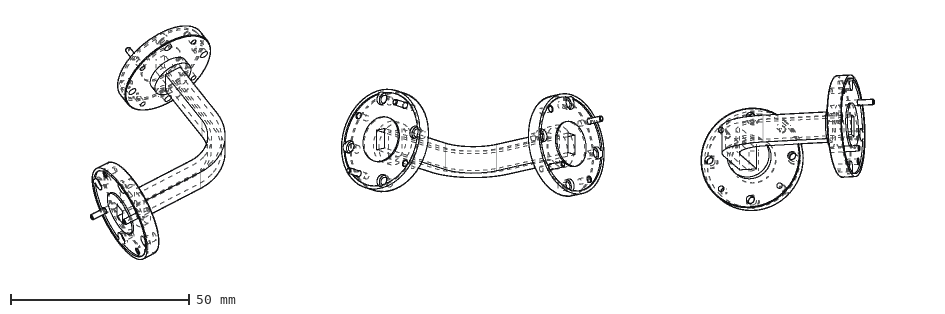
import cadquery as cq
import math

flange_radius = 14.3
pin_protrusion = 4.0
overall_length = 56.25
port_offset = overall_length - flange_radius - pin_protrusion

flange_thickness = 4.05
back_edge_chamfer = 0.2
hub_radius = 6.0
hub_height = 2.4
boss_radius = 6.4
rim_inner_radius = 13.4
face_recess_depth = 0.5

hole_circle_radius = 11.9
screw_hole_radius = 1.1
counterbore_radius = 1.75
counterbore_depth = 1.5
dowel_mouth_chamfer = 0.15
mouth_taper = 45

pin_radius = 0.8
pin_end_chamfer = 0.2

tube_width = 4.9
tube_height = 7.7
bore_width = 2.85
bore_height = 5.7
bend_radius = 12.6

port_planes = [
    cq.Plane(origin=(0, 0, 0), xDir=(0, 1, 0), normal=(1, 0, 0)),
    cq.Plane(origin=(port_offset, -port_offset, 0), xDir=(-1, 0, 0), normal=(0, 1, 0)),
]
pin_angle = 135


def opposite_points(angle):
    """Two opposite points on the hole circle, at the given angle in degrees."""
    x = hole_circle_radius * math.cos(math.radians(angle))
    y = hole_circle_radius * math.sin(math.radians(angle))
    return [(x, y), (-x, -y)]


def swept_bar(width, height):
    """Rectangular bar along the waveguide centreline from port face to port face."""
    bend_start = port_offset - bend_radius
    bend_mid = bend_radius * math.sqrt(0.5)
    path = (
        cq.Workplane("XY")
        .lineTo(bend_start, 0)
        .threePointArc(
            (bend_start + bend_mid, bend_mid - bend_radius),
            (port_offset, -bend_radius),
        )
        .lineTo(port_offset, -port_offset)
    )
    return cq.Workplane(port_planes[0]).rect(width, height).sweep(path)


def make_flange(plane):
    """Round flange with its hub and a recessed ring between the centre boss and the rim."""
    disc = cq.Workplane(plane).circle(flange_radius).extrude(flange_thickness)
    back_face = cq.selectors.DirectionMinMaxSelector(plane.zDir)
    disc = disc.faces(back_face).edges().chamfer(back_edge_chamfer)
    hub = cq.Workplane(plane).circle(hub_radius).extrude(flange_thickness + hub_height)
    recess = cq.Workplane(plane).circle(rim_inner_radius).circle(boss_radius).extrude(face_recess_depth)
    return disc.union(hub).cut(recess)


def screw_holes(plane):
    """Cutter for the four counterbored screw holes on the flange axes."""
    points = opposite_points(0) + opposite_points(90)
    holes = cq.Workplane(plane).pushPoints(points).circle(screw_hole_radius).extrude(flange_thickness)
    counterbores = cq.Workplane(plane).pushPoints(points).circle(counterbore_radius).extrude(counterbore_depth)
    return holes.union(counterbores)


def dowel_holes(plane):
    """Cutter for the four dowel holes between the screws, chamfered at the recessed face."""
    points = opposite_points(pin_angle) + opposite_points(pin_angle + 90)
    holes = cq.Workplane(plane).pushPoints(points).circle(pin_radius).extrude(flange_thickness)
    mouths = (
        cq.Workplane(plane)
        .workplane(offset=face_recess_depth)
        .pushPoints(points)
        .circle(pin_radius + dowel_mouth_chamfer)
        .extrude(dowel_mouth_chamfer, taper=mouth_taper)
    )
    return holes.union(mouths)


def make_waveguide():
    """Bent rectangular tube with a flange at each port, all one body."""
    body = swept_bar(tube_width, tube_height)
    for plane in port_planes:
        body = body.union(make_flange(plane))
    for plane in port_planes:
        body = body.cut(screw_holes(plane)).cut(dowel_holes(plane))
    return body.cut(swept_bar(bore_width, bore_height))


def make_pin(plane, point):
    """Dowel pin through the flange, its outer end chamfered."""
    pin = (
        cq.Workplane(plane)
        .workplane(offset=-pin_protrusion)
        .center(*point)
        .circle(pin_radius)
        .extrude(pin_protrusion + flange_thickness)
    )
    outer_end = cq.selectors.DirectionMinMaxSelector(plane.zDir, directionMax=False)
    return pin.faces(outer_end).edges().chamfer(pin_end_chamfer)


waveguide = make_waveguide()
pins = [
    make_pin(plane, point)
    for plane in port_planes
    for point in opposite_points(pin_angle)
]

result = cq.Compound.makeCompound([waveguide.val(), *[pin.val() for pin in pins]])